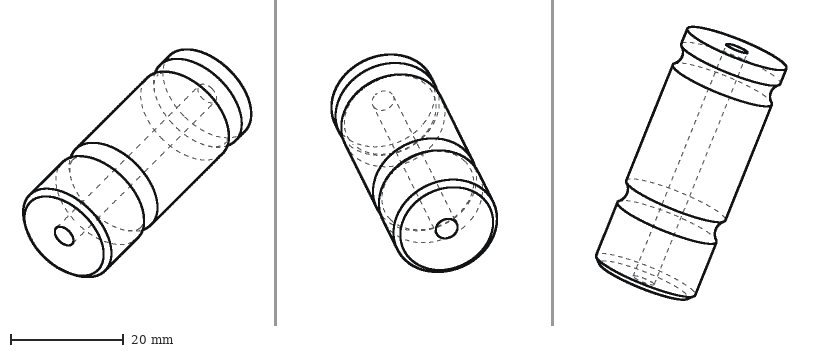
import cadquery as cq

length = 45.0
outer_radius = 9.5
hole_diameter = 4.0
front_chamfer = 1.0

groove_depth = 1.0
rear_rim = 3.0
rear_groove_width = 4.0
front_land = 11.3
front_groove_width = 4.2

front_y = -length / 2
rear_y = length / 2
groove_radius = outer_radius - groove_depth

rear_groove_end = rear_y - rear_rim
rear_groove_start = rear_groove_end - rear_groove_width
front_groove_start = front_y + front_land
front_groove_end = front_groove_start + front_groove_width


def add_groove(profile, start, end):
    """Run the outer edge to a groove and follow its circular arc."""
    middle = (start + end) / 2
    return profile.lineTo(outer_radius, start).threePointArc(
        (groove_radius, middle), (outer_radius, end)
    )


profile = (
    cq.Workplane("XY")
    .moveTo(0, front_y)
    .lineTo(outer_radius - front_chamfer, front_y)
    .lineTo(outer_radius, front_y + front_chamfer)
)
profile = add_groove(profile, front_groove_start, front_groove_end)
profile = add_groove(profile, rear_groove_start, rear_groove_end)
profile = profile.lineTo(outer_radius, rear_y).lineTo(0, rear_y).close()
body = profile.revolve(360, (0, 0, 0), (0, 1, 0))

hole = (
    cq.Workplane("XZ", origin=(0, rear_y, 0))
    .circle(hole_diameter / 2)
    .extrude(length)
)

result = body.cut(hole)